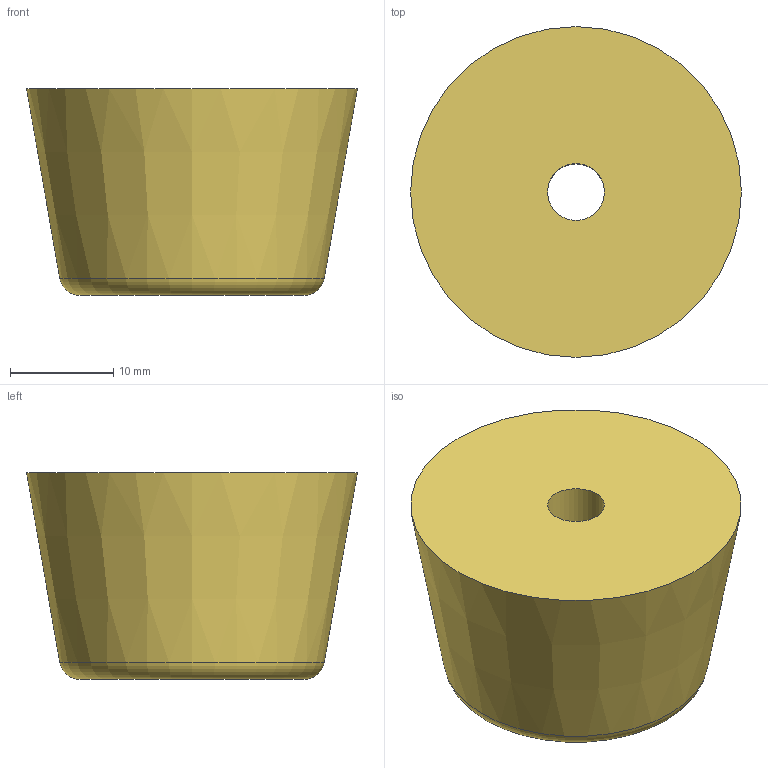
import cadquery as cq

top_diameter = 32.0
base_diameter = 25.0
height = 20.0
base_fillet_radius = 2.0
hole_diameter = 5.5


def tapered_body():
    """Solid cone frustum, wide end up, with its axis on Z and its base at Z = 0."""
    top_radius = top_diameter / 2
    base_radius = base_diameter / 2
    half_profile = (
        cq.Workplane("XZ")
        .lineTo(-base_radius, 0)
        .lineTo(-top_radius, height)
        .lineTo(0, height)
        .close()
    )
    return half_profile.revolve(360, (0, 0, 0), (0, 1, 0))


def round_base_edge(body):
    """Round the outer rim of the narrow end."""
    return body.faces("<Z").edges().fillet(base_fillet_radius)


def drill_center_hole(body):
    """Cut the plain through hole along the axis."""
    return body.faces(">Z").workplane(origin=(0, 0, height)).hole(hole_diameter)


result = drill_center_hole(round_base_edge(tapered_body()))